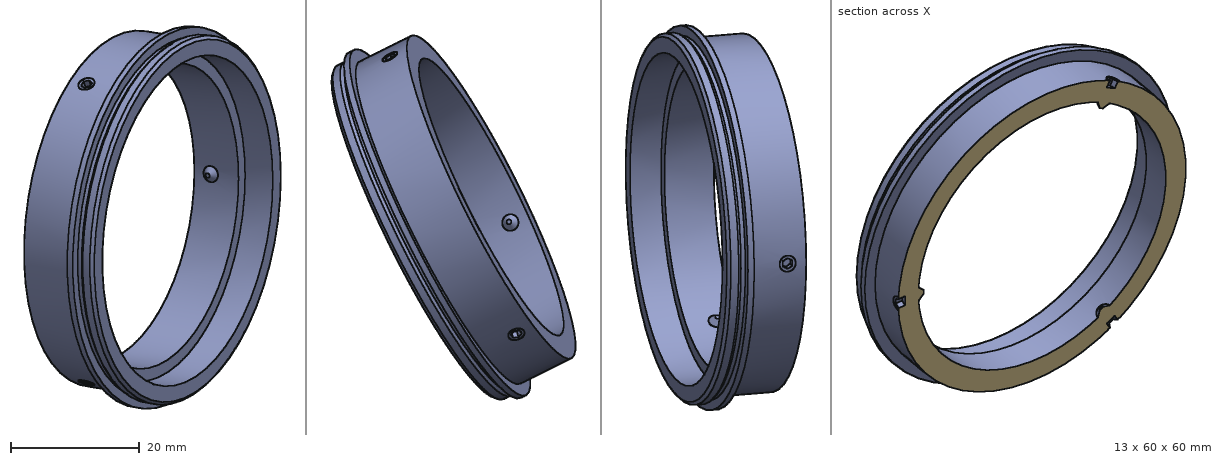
import cadquery as cq
import math

total_length = 13.0
flange_start = 9.0
flange_end = 10.0
thread_start = 10.7
bore_end = 8.0

sleeve_diameter = 56.0
flange_diameter = 60.0
neck_diameter = 56.98
thread_diameter = 58.0
bore_diameter = 48.0
rear_bore_diameter = 52.0

screw_count = 3
screw_station = 3.0
screw_diameter = 2.6
screw_tip_diameter = 0.75
screw_tip_radius = 23.0
screw_head_radius = 27.9
socket_across_flats = 1.5
socket_depth = 1.2


def ring_body():
    """Revolve the stepped wall section about the X axis."""
    sleeve_r = sleeve_diameter / 2
    flange_r = flange_diameter / 2
    neck_r = neck_diameter / 2
    thread_r = thread_diameter / 2
    bore_r = bore_diameter / 2
    rear_bore_r = rear_bore_diameter / 2
    thread_chamfer = thread_r - neck_r
    section = (
        cq.Workplane("XY")
        .moveTo(0, bore_r)
        .lineTo(0, sleeve_r)
        .lineTo(flange_start, sleeve_r)
        .lineTo(flange_start, flange_r)
        .lineTo(flange_end, flange_r)
        .lineTo(flange_end, neck_r)
        .lineTo(thread_start, neck_r)
        .lineTo(thread_start + thread_chamfer, thread_r)
        .lineTo(total_length - thread_chamfer, thread_r)
        .lineTo(total_length, neck_r)
        .lineTo(total_length, rear_bore_r)
        .lineTo(bore_end, rear_bore_r)
        .lineTo(bore_end, bore_r)
        .close()
    )
    return section.revolve(360, (0, 0, 0), (1, 0, 0))


def radial_plane(radius):
    """Plane facing outward along +Y at the screw station."""
    return cq.Workplane(
        cq.Plane(origin=(screw_station, radius, 0), xDir=(0, 0, 1), normal=(0, 1, 0))
    )


def screw_hole():
    """Radial hole through the sleeve wall along +Y."""
    hole_length = sleeve_diameter / 2 - screw_tip_radius
    return radial_plane(screw_tip_radius).circle(screw_diameter / 2).extrude(hole_length)


def set_screw():
    """90 degree cone-point screw along +Y with a hexagon socket in its outer end."""
    cone_length = (screw_diameter - screw_tip_diameter) / 2
    cone_start_radius = screw_tip_radius + cone_length
    shank = (
        radial_plane(cone_start_radius)
        .circle(screw_diameter / 2)
        .extrude(screw_head_radius - cone_start_radius)
    )
    point = (
        radial_plane(screw_tip_radius)
        .circle(screw_tip_diameter / 2)
        .workplane(offset=cone_length)
        .circle(screw_diameter / 2)
        .loft()
    )
    socket_across_corners = socket_across_flats / math.cos(math.pi / 6)
    socket = (
        radial_plane(screw_head_radius)
        .polygon(6, socket_across_corners)
        .extrude(-socket_depth)
    )
    return shank.union(point).cut(socket)


result = ring_body()
for index in range(screw_count):
    angle = index * 360 / screw_count
    result = result.cut(screw_hole().rotate((0, 0, 0), (1, 0, 0), angle))
    result = result.union(set_screw().rotate((0, 0, 0), (1, 0, 0), angle))